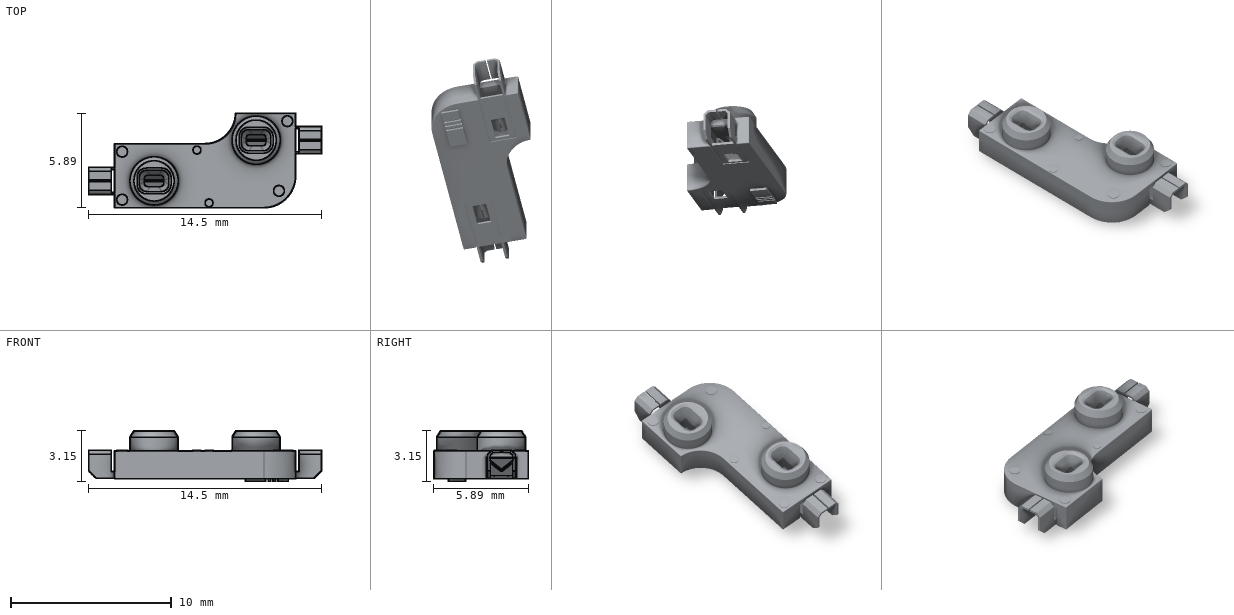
import cadquery as cq
import math

overall_length = 14.5
overall_width = 5.89

block_length = 11.28
block_height = 1.75
step_depth = 1.88
outer_corner_radius = 2.0
edge_round = 0.05

hub_pitch_x = 6.35
hub_pitch_y = 2.54
hub_diameter = 3.0
hub_top = 3.0
hub_bevel_width = 0.25
hub_bevel_height = 0.39

mouth_length = 2.12
mouth_width = 1.61
mouth_corner = 0.6
mouth_bevel_width = 0.15
mouth_bevel_height = 0.09
throat_length = 1.2
throat_width = 0.7
throat_corner = 0.19
taper_end_corner = 0.33
taper_end = 2.07

pad_height = 0.05
large_pad_diameter = 0.67
small_pad_diameter = 0.5
large_pad_places = [(-5.16, 0.55), (-5.16, -2.44), (5.12, 2.45), (4.6, -1.88)]
small_pad_places = [(-0.51, 0.65), (0.25, -2.64)]

marking_spans = [(2.51, 3.77), (3.92, 4.09), (4.22, 4.4), (4.52, 5.18)]
marking_front = -2.03
marking_back = -0.95
marking_height = 0.15

sheet = 0.15
contact_width = 1.71
contact_bottom = 0.05
wall_top = 1.16
terminal_top = 1.8
terminal_length = 1.42
terminal_fold = 0.26
terminal_tip_bevel = 0.46
neck_top = 0.48
leaf_gap = 0.1
leaf_length = 1.45
leaf_drop = 0.52
leaf_thickness = 0.15
floor_window_width = 0.87

pocket_top = 1.28
pocket_beyond_hub = 0.94
pocket_mouth_bevel = 0.09

half_block = block_length / 2
half_width = overall_width / 2
half_contact = contact_width / 2
inner_half = half_contact - sheet
hub_x = hub_pitch_x / 2
hub_y = hub_pitch_y / 2
hub_radius = hub_diameter / 2
end_face = hub_x - half_block
terminal_tip = hub_x - overall_length / 2
terminal_root = terminal_tip + terminal_length
leaf_start = -leaf_length / 2
floor_top = contact_bottom + sheet


def box(x_range, y_range, z_range):
    """Axis-aligned box between pairs of limits."""
    return cq.Workplane("XY").box(
        x_range[1] - x_range[0],
        y_range[1] - y_range[0],
        z_range[1] - z_range[0],
        centered=False,
    ).translate((x_range[0], y_range[0], z_range[0]))


def at_both_sockets(shape):
    """Two copies of a shape made about the hub axis: front left, and back right half a turn round."""
    front_left = shape.translate((-hub_x, -hub_y, 0))
    return [front_left.rotate((0, 0, 0), (0, 0, 1), angle) for angle in (0, 180)]


def make_block():
    """Stepped plate with one concave and one convex quarter-round corner."""
    diagonal = math.sqrt(0.5)
    concave_middle = (step_depth * diagonal, half_width - step_depth * diagonal)
    convex_inset = outer_corner_radius * (1 - diagonal)
    convex_middle = (half_block - convex_inset, -half_width + convex_inset)
    block = (
        cq.Workplane("XY")
        .moveTo(-half_block, -half_width)
        .lineTo(half_block - outer_corner_radius, -half_width)
        .threePointArc(convex_middle, (half_block, -half_width + outer_corner_radius))
        .lineTo(half_block, half_width)
        .lineTo(step_depth, half_width)
        .threePointArc(concave_middle, (0, half_width - step_depth))
        .lineTo(-half_block, half_width - step_depth)
        .close()
        .extrude(block_height)
    )
    sharp_corners = [
        (-half_block, -half_width),
        (half_block, half_width),
        (step_depth, half_width),
        (-half_block, half_width - step_depth),
    ]
    for x, y in sharp_corners:
        corner = cq.selectors.NearestToPointSelector((x, y, block_height / 2))
        block = block.edges(corner).fillet(edge_round)
    return block.faces("<Z or >Z").edges().fillet(edge_round)


def make_hub():
    """Round hub with a bevelled rim, standing on the deck."""
    return (
        cq.Workplane("XZ")
        .moveTo(0, block_height)
        .lineTo(hub_radius, block_height)
        .lineTo(hub_radius, hub_top - hub_bevel_height)
        .lineTo(hub_radius - hub_bevel_width, hub_top)
        .lineTo(0, hub_top)
        .close()
        .revolve(360, (0, 0, 0), (0, 1, 0))
    )


def rounded_plan(length, width, corner, z):
    """Rounded rectangle about the hub axis at height z."""
    plan = cq.Sketch().rect(length, width).vertices().fillet(corner)
    return plan.moved(cq.Location(cq.Vector(0, 0, z)))


def make_funnel():
    """Pin opening: a short bevelled mouth, a taper and a straight throat.

    The throat has tighter corners than the taper, so it scallops the taper's corners.
    """
    mouth_plan = rounded_plan(mouth_length, mouth_width, mouth_corner, hub_top)
    taper_plan = rounded_plan(
        mouth_length - 2 * mouth_bevel_width,
        mouth_width - 2 * mouth_bevel_width,
        mouth_corner - mouth_bevel_width,
        hub_top - mouth_bevel_height,
    )
    taper_end_plan = rounded_plan(throat_length, throat_width, taper_end_corner, taper_end)
    throat_plan = rounded_plan(throat_length, throat_width, throat_corner, pocket_top)
    scallop_limit = (hub_top + taper_end) / 2
    mouth = cq.Workplane("XY").placeSketch(taper_plan, mouth_plan).loft()
    taper = cq.Workplane("XY").placeSketch(taper_end_plan, taper_plan).loft()
    throat = cq.Workplane("XY").placeSketch(throat_plan).extrude(scallop_limit - pocket_top)
    return mouth.union(taper).union(throat)


def make_pocket():
    """Contact pocket, flared where it leaves the end of the housing."""
    pocket = box((end_face, pocket_beyond_hub), (-half_contact, half_contact), (0, pocket_top))
    flare = (
        cq.Workplane("YZ", origin=(end_face, 0, 0))
        .center(0, pocket_top / 2)
        .rect(contact_width + 2 * pocket_mouth_bevel, pocket_top + 2 * pocket_mouth_bevel)
        .workplane(offset=pocket_mouth_bevel)
        .rect(contact_width, pocket_top)
        .loft()
    )
    return pocket.union(flare)


def make_pads(places, diameter):
    """Low round pads on the deck."""
    return (
        cq.Workplane("XY", origin=(0, 0, block_height))
        .pushPoints(places)
        .circle(diameter / 2)
        .extrude(pad_height)
    )


def make_housing():
    """Block, hubs, pin openings, contact pockets, deck pads and underside markings as one solid."""
    housing = make_block()
    for hub in at_both_sockets(make_hub()):
        housing = housing.union(hub)
    for end in (-1, 1):
        root = cq.selectors.NearestToPointSelector((end * hub_x, end * hub_y, block_height))
        housing = housing.edges(root).fillet(edge_round)
    for cutter in at_both_sockets(make_funnel()) + at_both_sockets(make_pocket()):
        housing = housing.cut(cutter)
    housing = housing.union(make_pads(large_pad_places, large_pad_diameter))
    housing = housing.union(make_pads(small_pad_places, small_pad_diameter))
    for start, end in marking_spans:
        marking = box((start, end), (marking_front, marking_back), (-marking_height, 0))
        housing = housing.union(marking)
    return housing


def make_terminal():
    """Outer end of the contact: a folded channel, open below and slit along its top."""
    inner_fold = terminal_fold - sheet * (2 - math.sqrt(2))
    inner_top = terminal_top - sheet
    half_profile = [
        (half_contact, contact_bottom),
        (half_contact, terminal_top - terminal_fold),
        (half_contact - terminal_fold, terminal_top),
        (leaf_gap / 2, terminal_top),
        (leaf_gap / 2, inner_top),
        (inner_half - inner_fold, inner_top),
        (inner_half, inner_top - inner_fold),
        (inner_half, contact_bottom),
    ]
    half_channel = (
        cq.Workplane("YZ", origin=(terminal_tip, 0, 0))
        .polyline(half_profile)
        .close()
        .extrude(terminal_length)
    )
    channel = half_channel.union(half_channel.mirror("XZ"))
    tip_cut = (
        cq.Workplane("XZ")
        .moveTo(terminal_tip, contact_bottom)
        .lineTo(terminal_tip + terminal_tip_bevel, contact_bottom)
        .lineTo(terminal_tip, contact_bottom + terminal_tip_bevel)
        .close()
        .extrude(half_contact, both=True)
    )
    return channel.cut(tip_cut)


def make_side_wall():
    """One wall beside the pin with its low neck to the terminal and its sloping spring leaf."""
    wall = box((leaf_start, pocket_beyond_hub), (inner_half, half_contact), (contact_bottom, wall_top))
    neck = box((terminal_root, leaf_start), (inner_half, half_contact), (contact_bottom, neck_top))
    leaf = (
        cq.Workplane("YZ", origin=(leaf_start, 0, 0))
        .moveTo(inner_half, wall_top)
        .lineTo(leaf_gap / 2, wall_top - leaf_drop)
        .lineTo(leaf_gap / 2, wall_top - leaf_drop - leaf_thickness)
        .lineTo(inner_half, wall_top - leaf_thickness)
        .close()
        .extrude(leaf_length)
    )
    return wall.union(neck).union(leaf)


def make_contact():
    """Terminal, two walls and a floor with a window that lets the pin through."""
    side_wall = make_side_wall()
    floor = box(
        (end_face, pocket_beyond_hub),
        (-half_contact, half_contact),
        (contact_bottom, floor_top),
    )
    window = box(
        (leaf_start, leaf_start + leaf_length),
        (-floor_window_width / 2, floor_window_width / 2),
        (contact_bottom, floor_top),
    )
    contact = make_terminal().union(side_wall).union(side_wall.mirror("XZ"))
    return contact.union(floor.cut(window))


housing = make_housing()
contacts = at_both_sockets(make_contact())
result = cq.Compound.makeCompound([housing.val()] + [contact.val() for contact in contacts])